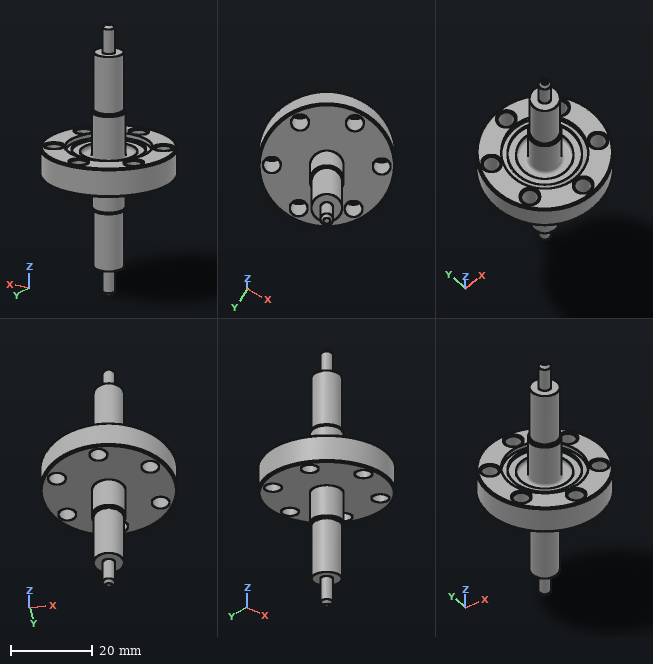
import cadquery as cq

total_length = 70.5
mid_height = total_length / 2

flange_diameter = 33.75
flange_bottom = 31.15
flange_thickness = 7.4
flange_edge_chamfer = 0.35
flange_top = flange_bottom + flange_thickness

bolt_count = 6
bolt_circle_diameter = 27.0
bolt_hole_diameter = 4.4
bolt_hole_chamfer = 0.35

recess_diameter = 21.4
recess_depth = 1.3
knife_diameter = 18.3
knife_depth = 0.6

trough_diameter = 14.1
trough_depth = 1.55
trough_fillet = 0.85

pin_diameter = 3.2
pin_tip_diameter = 1.6
pin_exposed_length = 7.3
pin_tip_length = 0.9
insulator_diameter = 7.55
insulator_length = 14.9
neck_diameter = 6.35
neck_length = 0.32
tube_diameter = 8.3
tube_edge_chamfer = 0.3

centre_hole_diameter = 0.61
centre_hole_depth = 0.7

insulator_half = mid_height - pin_exposed_length
neck_half = insulator_half - insulator_length
tube_half = neck_half - neck_length


def cylinder(diameter, bottom, top):
    return cq.Workplane("XY").workplane(offset=bottom).circle(diameter / 2).extrude(top - bottom)


def centred_cylinder(diameter, half_length):
    return cylinder(diameter, mid_height - half_length, mid_height + half_length)


def flange_plate():
    plate = cylinder(flange_diameter, flange_bottom, flange_top)
    return plate.edges("%CIRCLE").chamfer(flange_edge_chamfer)


def seal_recess():
    """Cutter for the vertical recess wall, the sloped knife flank and the flat floor inside the knife."""
    recess_radius = recess_diameter / 2
    outline = [
        (0, flange_top),
        (recess_radius, flange_top),
        (recess_radius, flange_top - recess_depth),
        (knife_diameter / 2, flange_top - knife_depth),
        (knife_diameter / 2, flange_top - recess_depth),
        (0, flange_top - recess_depth),
    ]
    return cq.Workplane("XZ").polyline(outline).close().revolve(360, (0, 0), (0, 1))


def tube_trough():
    """Ring-shaped cutter around the tube, rounded along both floor corners."""
    top = flange_top - recess_depth
    bottom = top - trough_depth
    ring = cylinder(trough_diameter, bottom, top).cut(cylinder(tube_diameter, bottom, top))
    return ring.faces("<Z").edges().fillet(trough_fillet)


def add_bolt_holes(plate):
    """Through holes on the bolt circle, chamfered at the top face of the flange."""
    sink_diameter = bolt_hole_diameter + 2 * bolt_hole_chamfer
    pattern = plate.faces(">Z").workplane(origin=(0, 0, 0))
    pattern = pattern.polarArray(bolt_circle_diameter / 2, 90, 360, bolt_count)
    return pattern.cskHole(bolt_hole_diameter, sink_diameter, 90)


def conductor_pin():
    tip_inset = (pin_diameter - pin_tip_diameter) / 2
    pin = centred_cylinder(pin_diameter, mid_height)
    pin = pin.faces("<Z").edges().chamfer(pin_tip_length, tip_inset)
    return pin.faces(">Z").edges().chamfer(pin_tip_length, tip_inset)


def feedthrough():
    """Stepped shaft along Z: pin, insulator, a short neck at each tube end, and the tube."""
    tube = centred_cylinder(tube_diameter, tube_half).edges("%CIRCLE").chamfer(tube_edge_chamfer)
    neck = centred_cylinder(neck_diameter, neck_half)
    insulator = centred_cylinder(insulator_diameter, insulator_half)
    gap = centred_cylinder(insulator_diameter, neck_half).cut(neck)
    return insulator.cut(gap).union(tube).union(conductor_pin())


flange = add_bolt_holes(flange_plate())
flange = flange.cut(seal_recess()).cut(tube_trough())
centre_hole = cylinder(centre_hole_diameter, total_length - centre_hole_depth, total_length)
result = flange.union(feedthrough()).cut(centre_hole)